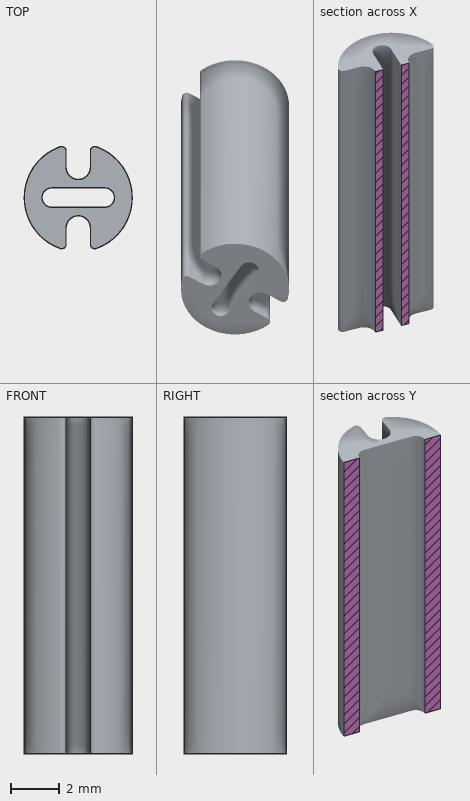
import cadquery as cq

body_diameter = 4.5
body_length = 14.0

hole_length = 3.0
hole_width = 0.8

groove_width = 1.0
groove_floor_offset = 0.76
lip_radius = 0.195


def make_body():
    return cq.Workplane("XY").circle(body_diameter / 2).extrude(body_length)


def make_groove_cutter(side):
    """Groove cutter open to the outside; side is +1 for +Y and -1 for -Y."""
    half_width = groove_width / 2
    floor = side * groove_floor_offset
    arc_start = side * (groove_floor_offset + half_width)
    outside = side * body_diameter
    return (
        cq.Workplane("XY")
        .moveTo(-half_width, outside)
        .lineTo(-half_width, arc_start)
        .threePointArc((0, floor), (half_width, arc_start))
        .lineTo(half_width, outside)
        .close()
        .extrude(body_length)
    )


def round_groove_lips(part):
    """Round the four long edges between groove walls and outer surface."""
    lip_reach = groove_floor_offset + groove_width
    lips = part.edges("|Z").filter(
        lambda edge: abs(edge.Center().y) > lip_reach
    )
    return lips.fillet(lip_radius)


def make_hole_cutter():
    return cq.Workplane("XY").slot2D(hole_length, hole_width).extrude(body_length)


result = make_body()
for groove_side in (1, -1):
    result = result.cut(make_groove_cutter(groove_side))
result = round_groove_lips(result)
result = result.cut(make_hole_cutter())